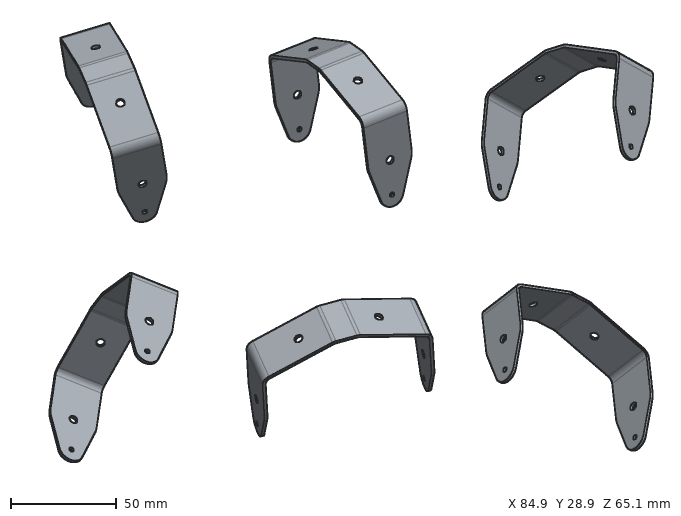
import cadquery as cq
import math

outer_width = 84.9
sheet_thickness = 1.6
strip_width = 24.35
strip_center_y = 1.2
crown_height = 57.5
crown_half_width = 6.1
shoulder_slope = 20.0
bend_outer_radius = 5.0
tilt_angle = 7.0

tip_radius = 6.4
taper_start_z = 17.1
taper_blend_radius = 12.7
corner_margin = 0.85

pivot_hole_diameter = 2.4
mount_hole_diameter = 4.1
leg_hole_z = 18.4
shoulder_hole_distance = 14.85

half_width = outer_width / 2
slope = math.radians(shoulder_slope)
strip_front_y = strip_center_y - strip_width / 2
strip_back_y = strip_center_y + strip_width / 2


def bent_block(inset, bend_radius):
    """Solid under the bent sheet, with its outer faces moved inward by inset."""
    leg_x = half_width - inset
    crown_x = crown_half_width - inset * math.tan(slope / 2)
    crown_z = crown_height - inset
    shoulder_z = crown_z - (leg_x - crown_x) * math.tan(slope)
    outline = [
        (-leg_x, -tip_radius),
        (-leg_x, shoulder_z),
        (-crown_x, crown_z),
        (crown_x, crown_z),
        (leg_x, shoulder_z),
        (leg_x, -tip_radius),
    ]
    block = (
        cq.Workplane("XZ", origin=(0, strip_back_y, 0))
        .polyline(outline)
        .close()
        .extrude(strip_width)
    )
    bend_edges = block.edges("|Y").edges(cq.selectors.BoxSelector(
        (-outer_width, -outer_width, 0), (outer_width, outer_width, 2 * crown_height)
    ))
    return block.newObject(bend_edges.vals()).fillet(bend_radius)


def tip_tangent_point(side_y):
    """Point where the taper from a strip edge touches the round leg tip."""
    corner_distance = math.hypot(side_y, taper_start_z)
    corner_angle = math.atan2(taper_start_z, side_y)
    sweep = math.copysign(math.acos(tip_radius / corner_distance), side_y)
    angle = corner_angle - sweep
    return tip_radius * math.cos(angle), tip_radius * math.sin(angle)


def side_outline():
    """Leg side shape, running the full width of the bracket."""
    profile = (
        cq.Workplane("YZ", origin=(-half_width, 0, 0))
        .moveTo(strip_front_y, crown_height)
        .lineTo(strip_front_y, taper_start_z)
        .lineTo(*tip_tangent_point(strip_front_y))
        .threePointArc((0, -tip_radius), tip_tangent_point(strip_back_y))
        .lineTo(strip_back_y, taper_start_z)
        .lineTo(strip_back_y, crown_height)
        .close()
        .extrude(outer_width)
    )
    taper_corners = profile.edges("|X").edges(cq.selectors.BoxSelector(
        (-outer_width, -outer_width, taper_start_z - corner_margin),
        (outer_width, outer_width, taper_start_z + corner_margin),
    ))
    return profile.newObject(taper_corners.vals()).fillet(taper_blend_radius)


def leg_hole(y, z, diameter):
    """Cylinder along X through both legs."""
    return (
        cq.Workplane("YZ", origin=(-half_width, y, z))
        .circle(diameter / 2)
        .extrude(outer_width)
    )


def shoulder_hole(side):
    """Cylinder square to the sloping shoulder on side -1 or +1."""
    center = cq.Vector(
        side * (crown_half_width + shoulder_hole_distance * math.cos(slope)),
        strip_center_y,
        crown_height - shoulder_hole_distance * math.sin(slope),
    )
    normal = cq.Vector(side * math.sin(slope), 0, math.cos(slope))
    length = 4 * sheet_thickness
    start = center - normal * (length / 2)
    return cq.Workplane(obj=cq.Solid.makeCylinder(mount_hole_diameter / 2, length, start, normal))


bracket = bent_block(0, bend_outer_radius)
bracket = bracket.cut(bent_block(sheet_thickness, bend_outer_radius - sheet_thickness))
bracket = bracket.intersect(side_outline())
bracket = bracket.cut(leg_hole(0, 0, pivot_hole_diameter))
bracket = bracket.cut(leg_hole(strip_center_y, leg_hole_z, mount_hole_diameter))
for side in (-1, 1):
    bracket = bracket.cut(shoulder_hole(side))

result = bracket.rotate((0, 0, 0), (1, 0, 0), tilt_angle)